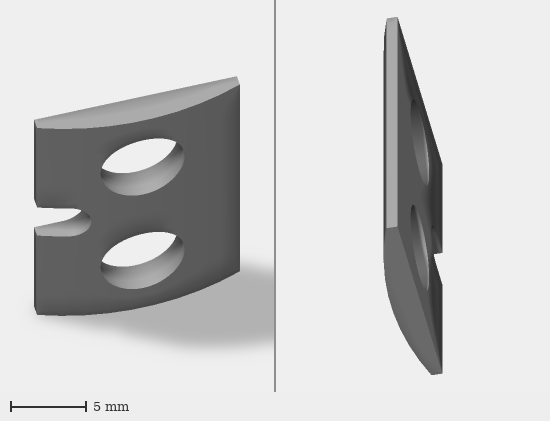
import cadquery as cq
import math

height = 20.0
width = 14.0
thickness = 2.0
crown_radius = 20.0

hole_diameter = 5.8
hole_spacing = height / 2

slot_width = 3.0
slot_depth = 3.5

half_width = width / 2
crown_rise = crown_radius - math.sqrt(crown_radius**2 - half_width**2)
edge_thickness = thickness - crown_rise


def crowned_plate():
    """Plate centred on Y and Z, with its flat face at X = 0."""
    return (
        cq.Workplane("XY")
        .workplane(offset=-height / 2)
        .moveTo(0, -half_width)
        .lineTo(edge_thickness, -half_width)
        .threePointArc((thickness, 0), (edge_thickness, half_width))
        .lineTo(0, half_width)
        .close()
        .extrude(height)
    )


def round_holes():
    """Two through holes, one above the other."""
    return (
        cq.Workplane("YZ")
        .pushPoints([(0, -hole_spacing / 2), (0, hole_spacing / 2)])
        .circle(hole_diameter / 2)
        .extrude(thickness)
    )


def edge_slot():
    """Through slot at mid height, ending in a half circle."""
    slot_radius = slot_width / 2
    slot_end = -half_width + slot_depth
    arc_start = slot_end - slot_radius
    return (
        cq.Workplane("YZ")
        .moveTo(-half_width, -slot_radius)
        .lineTo(arc_start, -slot_radius)
        .threePointArc((slot_end, 0), (arc_start, slot_radius))
        .lineTo(-half_width, slot_radius)
        .close()
        .extrude(thickness)
    )


result = crowned_plate().cut(round_holes()).cut(edge_slot())